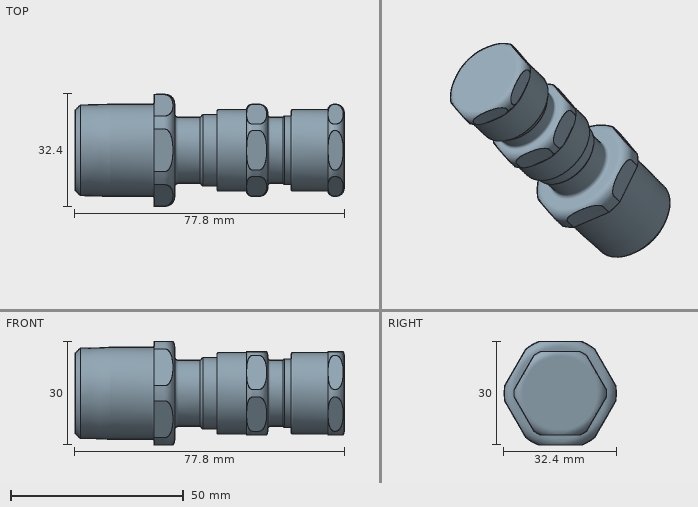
import cadquery as cq
import math


ENTRY_DIAMETER = 26.7
ENTRY_TAPER_DIAMETER = 26.2
ENTRY_TAPER_END = 10.1
ENTRY_FACE_DIAMETER = 23.2
ENTRY_CHAMFER_LENGTH = 1.5
ENTRY_ROOT_FILLET = 0.5
ENTRY_HEX_START = 22.8
ENTRY_HEX_END = 28.8
ENTRY_HEX_DIAMETER = 32.4
ENTRY_HEX_FLATS = 30.0
ENTRY_HEX_ROUND = 2.9
ENTRY_NECK_FILLET = 1.1
ENTRY_SPIGOT_START = 36.1
ENTRY_SPIGOT_DIAMETER = 20.8

MIDDLE_NUT_START = 40.9
MIDDLE_HEX_START = 49.5
MIDDLE_HEX_END = 55.7
MIDDLE_HEX_FRONT_ROUND = 1.8
MIDDLE_HEX_BACK_ROUND = 2.65
MIDDLE_NECK_FILLET = 0.8
MIDDLE_SPIGOT_START = 60.05
MIDDLE_SPIGOT_DIAMETER = 19.9

BACK_NUT_START = 62.4
BACK_HEX_START = 72.95
BACK_HEX_END = 77.8
BACK_HEX_FRONT_ROUND = 1.95
BACK_HEX_BACK_ROUND = 2.6

NUT_DIAMETER = 23.65
NUT_RIM_ROUND = 0.6
NUT_HEX_DIAMETER = 26.7
NUT_HEX_FLATS = 24.1
NECK_DIAMETER = 19.1

NECK_RADIUS = NECK_DIAMETER / 2
NUT_RADIUS = NUT_DIAMETER / 2
NUT_HEX_RADIUS = NUT_HEX_DIAMETER / 2
DIAGONAL = math.sqrt(0.5)


def rounded_corner(profile, start, end, center):
    """Add a quarter-circle from start to end, bulging away from center."""
    radius = abs(end[0] - start[0])
    middle = (
        center[0] + DIAGONAL * radius * math.copysign(1, start[0] + end[0] - 2 * center[0]),
        center[1] + DIAGONAL * radius * math.copysign(1, start[1] + end[1] - 2 * center[1]),
    )
    return profile.threePointArc(middle, end)


def turned(profile, end):
    """Close a half profile along the X axis and revolve it."""
    return profile.lineTo(end, 0).close().revolve(360, (0, 0, 0), (1, 0, 0))


def trim_to_hexagon(body, start, end, flats):
    """Cut six flats between start and end, two of them facing up and down."""
    corner_diameter = flats / math.cos(math.pi / 6)
    length = end - start
    hexagon = cq.Workplane("YZ", origin=(start, 0, 0)).polygon(6, corner_diameter).extrude(length)
    blank = cq.Workplane("YZ", origin=(start, 0, 0)).circle(corner_diameter).extrude(length)
    return body.cut(blank.cut(hexagon))


def neck_and_spigot(profile, hex_end, fillet, spigot_start, spigot_diameter, spigot_end):
    """Add the filleted neck behind a hexagon and the chamfered spigot behind the neck."""
    spigot_radius = spigot_diameter / 2
    chamfer = spigot_radius - NECK_RADIUS
    fillet_start = (hex_end, NECK_RADIUS + fillet)
    fillet_end = (hex_end + fillet, NECK_RADIUS)
    profile = profile.lineTo(*fillet_start)
    profile = rounded_corner(profile, fillet_start, fillet_end, (fillet_end[0], fillet_start[1]))
    return (
        profile.lineTo(spigot_start, NECK_RADIUS)
        .lineTo(spigot_start + chamfer, spigot_radius)
        .lineTo(spigot_end, spigot_radius)
    )


def hexagon_back_round(profile, hex_end, radius, round_radius):
    """Add the outer edge of a hexagon section up to its rounded back face."""
    start = (hex_end - round_radius, radius)
    end = (hex_end, radius - round_radius)
    return rounded_corner(profile.lineTo(*start), start, end, (start[0], end[1]))


def entry_body():
    radius = ENTRY_DIAMETER / 2
    hex_radius = ENTRY_HEX_DIAMETER / 2
    fillet_start = (ENTRY_HEX_START - ENTRY_ROOT_FILLET, radius)
    fillet_end = (ENTRY_HEX_START, radius + ENTRY_ROOT_FILLET)
    profile = (
        cq.Workplane("XY")
        .lineTo(0, ENTRY_FACE_DIAMETER / 2)
        .lineTo(ENTRY_CHAMFER_LENGTH, ENTRY_TAPER_DIAMETER / 2)
        .lineTo(ENTRY_TAPER_END, radius)
        .lineTo(*fillet_start)
    )
    profile = rounded_corner(profile, fillet_start, fillet_end, (fillet_start[0], fillet_end[1]))
    profile = profile.lineTo(ENTRY_HEX_START, hex_radius)
    profile = hexagon_back_round(profile, ENTRY_HEX_END, hex_radius, ENTRY_HEX_ROUND)
    profile = neck_and_spigot(
        profile,
        ENTRY_HEX_END,
        ENTRY_NECK_FILLET,
        ENTRY_SPIGOT_START,
        ENTRY_SPIGOT_DIAMETER,
        MIDDLE_NUT_START,
    )
    body = turned(profile, MIDDLE_NUT_START)
    return trim_to_hexagon(body, ENTRY_HEX_START, ENTRY_HEX_END, ENTRY_HEX_FLATS)


def nut_profile(start, hex_start, hex_end, front_round, back_round):
    """Outline of a nut's round collar and hexagon section, up to the hexagon's back face."""
    rim_start = (start, NUT_RADIUS - NUT_RIM_ROUND)
    rim_end = (start + NUT_RIM_ROUND, NUT_RADIUS)
    round_center = (hex_start + front_round, NUT_HEX_RADIUS - front_round)
    meet_height = NUT_RADIUS - round_center[1]
    meet_x = round_center[0] - math.sqrt(front_round**2 - meet_height**2)
    middle_angle = (math.asin(meet_height / front_round) + math.pi / 2) / 2
    round_middle = (
        round_center[0] - front_round * math.cos(middle_angle),
        round_center[1] + front_round * math.sin(middle_angle),
    )
    profile = cq.Workplane("XY").moveTo(start, 0).lineTo(*rim_start)
    profile = rounded_corner(profile, rim_start, rim_end, (rim_end[0], rim_start[1]))
    profile = profile.lineTo(meet_x, NUT_RADIUS)
    profile = profile.threePointArc(round_middle, (round_center[0], NUT_HEX_RADIUS))
    return hexagon_back_round(profile, hex_end, NUT_HEX_RADIUS, back_round)


def middle_nut():
    profile = nut_profile(
        MIDDLE_NUT_START,
        MIDDLE_HEX_START,
        MIDDLE_HEX_END,
        MIDDLE_HEX_FRONT_ROUND,
        MIDDLE_HEX_BACK_ROUND,
    )
    profile = neck_and_spigot(
        profile,
        MIDDLE_HEX_END,
        MIDDLE_NECK_FILLET,
        MIDDLE_SPIGOT_START,
        MIDDLE_SPIGOT_DIAMETER,
        BACK_NUT_START,
    )
    body = turned(profile, BACK_NUT_START)
    return trim_to_hexagon(body, MIDDLE_HEX_START, MIDDLE_HEX_END, NUT_HEX_FLATS)


def back_nut():
    profile = nut_profile(
        BACK_NUT_START,
        BACK_HEX_START,
        BACK_HEX_END,
        BACK_HEX_FRONT_ROUND,
        BACK_HEX_BACK_ROUND,
    )
    body = turned(profile, BACK_HEX_END)
    return trim_to_hexagon(body, BACK_HEX_START, BACK_HEX_END, NUT_HEX_FLATS)


result = cq.Compound.makeCompound([entry_body().val(), middle_nut().val(), back_nut().val()])